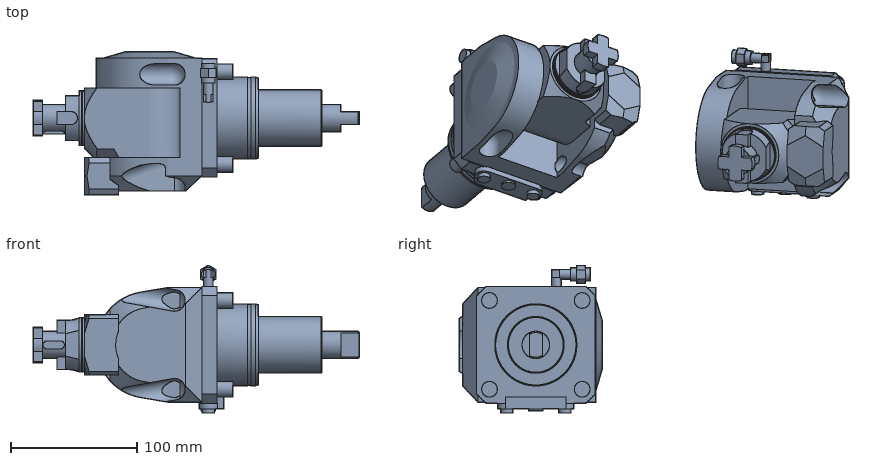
import cadquery as cq
import math


OVERALL_LENGTH = 258.0

PIVOT_X = -53.5
BODY_R = 42.3
BODY_HALF_Z = 45.5
BODY_BACK_Y = 47.5
BODY_FRONT_Y = -57.8
TAPER_START_X = -38.7
FRONT_BEVEL_Y = 12.0
FRONT_BEVEL_IN = 13.0
ARM_FLAT_X = -84.5
ARM_FLAT_Y = -49.8
CAP_TOP_Y = 52.6
CAP_R = 36.6
CAP_TOP_R = 19.0

FLANGE_T = 12.0
FLANGE_HALF_Z = 46.2
FLANGE_BACK_Y = 47.0
FLANGE_FRONT_Y = -46.7
FLANGE_CORNER = 7.2

HEAD_HALF_Z = 24.0
HEAD_BACK_Y = 24.0
HEAD_FRONT_Y = -31.0
HEAD_END_X = -105.0
SLOT_END_X = PIVOT_X + HEAD_HALF_Z
HEAD_CORNER_Y = 6.7
HEAD_CORNER_Z = 9.3
HEAD_CORNER_END_X = -78.0
HEAD_CORNER_RUNOUT = 3.9

HOUSING_FRONT_Y = -60.6
HOUSING_END_X = -78.0
HOUSING_EDGE_Y = 4.6
HOUSING_EDGE_Z = 3.0
HOUSING_FACET_SLOPE = 71
HOUSING_RELIEF_R = 26.8

BOLT_R = 6.2
BOLT_OUT = 12.5
BOLT_Y = 36.6
BOLT_Z = 35.0
POCKET_R = 8.5
POCKET_X = -33.8
POCKET_BACK_Y = 34.5
POCKET_FRONT_Y = -36.5
POCKET_L = 77.5
BACK_POCKET_LEAN = (0, 0, 0.6)
FRONT_POCKET_LEAN = (0, -0.37, 0.18)

PILOT_R = 32.5
PILOT_END_X = 32.5
PILOT_CHAMFER_X = 2.3
PILOT_CHAMFER_R = 0.8
GROOVE_X = 24.0
GROOVE_W = 2.8
GROOVE_DEPTH = 0.3
SHANK_R = 22.5
SHANK_END_X = 83.0
SHANK_CHAMFER = 0.8
TANG_R = 10.8
TANG_FLAT_X = 97.8
TANG_END_X = 112.5
TANG_HALF_T = 5.2
TANG_CHAMFER = 1.0

RING_R = 21.7
RING_GROOVE_R = 21.0
RING_GROOVE_W = 0.8
COLLAR_END_X = -109.1
COLLAR_X = -120.0
COLLAR_BASE_R = 21.2
COLLAR_TIP_R = 19.9
COLLAR_HALF_Y = 17.8
ARBOR_R = 10.8
CROSS_X = -138.0
TIP_X = TANG_END_X - OVERALL_LENGTH
CROSS_R = 14.2
KEY_HALF_W = 5.2
KEY_X = -126.7
KEY_END_X = -110.5
KEY_TOP_Z = 19.5
SIDE_KEY_X = -137.8
SIDE_KEY_END_X = -120.7
SIDE_KEY_W = 6.5
SIDE_KEY_Y = -12.6

ELBOW_X = -7.0
ELBOW_Y = 16.3
ELBOW_Z = 55.7
ELBOW_R = 3.9
ELBOW_PAD = 5.7
ELBOW_PAD_SHIFT = 0.5
TUBE_END_Y = 27.5
NUT_R = 5.5
NUT_END_Y = 43.0
HEX_Y = 32.2
HEX_END_Y = 39.2
HEX_R = 7.2

COVER_X = -7.0
COVER_R = 7.2
COVER_BOTTOM_Z = -50.5
SCREW_Y = 23.0
SCREW_R = 5.0
SCREW_BOTTOM_Z = -54.0
STUD_R = 5.7
STUD_BOTTOM_Z = -52.0
LIP_X = 5.5
LIP_TOP_Z = -41.0
LIP_HALF_Y = 24.0


def block(x0, x1, y0, y1, z0, z1):
    """Box between two opposite corners."""
    return cq.Workplane("XY").box(x1 - x0, y1 - y0, z1 - z0, centered=False).translate((x0, y0, z0))


def rod(radius, start, length, direction):
    """Round bar from start running a given length along direction."""
    return cq.Workplane(cq.Solid.makeCylinder(radius, length, cq.Vector(*start), cq.Vector(*direction)))


def rod_x(radius, x0, x1):
    """Round bar on the shank axis."""
    return rod(radius, (x0, 0, 0), x1 - x0, (1, 0, 0))


def fork_body():
    reach = TAPER_START_X - PIVOT_X
    distance = math.hypot(reach, BODY_HALF_Z)
    angle = math.atan2(BODY_HALF_Z, reach) + math.acos(BODY_R / distance)
    touch_x = PIVOT_X + BODY_R * math.cos(angle)
    touch_z = BODY_R * math.sin(angle)
    body = (
        cq.Workplane("XZ", origin=(0, BODY_BACK_Y, 0))
        .moveTo(-FLANGE_T, -BODY_HALF_Z)
        .lineTo(-FLANGE_T, BODY_HALF_Z)
        .lineTo(TAPER_START_X, BODY_HALF_Z)
        .lineTo(touch_x, touch_z)
        .threePointArc((PIVOT_X - BODY_R, 0), (touch_x, -touch_z))
        .lineTo(TAPER_START_X, -BODY_HALF_Z)
        .close()
        .extrude(BODY_BACK_Y - BODY_FRONT_Y)
        .faces("<Y").chamfer(FRONT_BEVEL_Y, FRONT_BEVEL_IN)
    )
    cap_h = CAP_TOP_Y - BODY_BACK_Y
    cap = cq.Solid.makeCone(
        CAP_R, CAP_TOP_R, cap_h, cq.Vector(PIVOT_X, BODY_BACK_Y, 0), cq.Vector(0, 1, 0)
    )
    slot = block(2 * HEAD_END_X, SLOT_END_X, HEAD_FRONT_Y, HEAD_BACK_Y, -FLANGE_HALF_Z, FLANGE_HALF_Z)
    arm_flat = block(2 * HEAD_END_X, ARM_FLAT_X, ARM_FLAT_Y, HEAD_FRONT_Y, -FLANGE_HALF_Z, FLANGE_HALF_Z)
    return body.union(cq.Workplane(cap)).cut(slot).cut(arm_flat)


def bolt_pocket(start, slope_out, open_dir):
    """Ball-ended groove leaving start towards -X, with its open side swept outwards."""
    tilt = cq.Vector(*slope_out)
    axis = cq.Vector(-1, 0, 0) + tilt
    across = cq.Vector(*open_dir)
    square_to_axis = across - axis * (across.dot(axis) / axis.dot(axis))
    groove_plane = cq.Workplane(cq.Plane(start, square_to_axis, axis))
    groove = groove_plane.circle(POCKET_R).extrude(POCKET_L)
    open_side = groove_plane.center(POCKET_L / 2, 0).rect(POCKET_L, 2 * POCKET_R).extrude(POCKET_L)
    far = 2 * POCKET_L
    beyond_start = block(POCKET_X - far, POCKET_X, -far, far, -far, far)
    open_side = open_side.intersect(beyond_start)
    ball = cq.Workplane("XY").sphere(POCKET_R).translate(start)
    end = rod(POCKET_R, start, POCKET_L, open_dir)
    return groove.union(open_side).union(ball).union(end)


def flange():
    plate = block(-FLANGE_T, 0, FLANGE_FRONT_Y, FLANGE_BACK_Y, -FLANGE_HALF_Z, FLANGE_HALF_Z)
    return plate.edges("|X").chamfer(FLANGE_CORNER)


def head():
    length = PIVOT_X - HEAD_END_X
    bar = block(HEAD_END_X, PIVOT_X, HEAD_FRONT_Y, HEAD_BACK_Y, -HEAD_HALF_Z, HEAD_HALF_Z)
    turned_end = cq.Solid.makeCone(
        HEAD_HALF_Z, HEAD_HALF_Z + length, length, cq.Vector(HEAD_END_X, 0, 0), cq.Vector(1, 0, 0)
    )
    bar = bar.intersect(cq.Workplane(turned_end))
    bevel_l = HEAD_CORNER_END_X - HEAD_END_X
    corner = (
        cq.Workplane("YZ", origin=(HEAD_END_X, 0, 0))
        .moveTo(HEAD_FRONT_Y, HEAD_HALF_Z)
        .lineTo(HEAD_FRONT_Y + HEAD_CORNER_Y, HEAD_HALF_Z)
        .lineTo(HEAD_FRONT_Y, HEAD_HALF_Z - HEAD_CORNER_Z)
        .close()
        .extrude(bevel_l)
    )
    bevel_end = (
        cq.Workplane("XY", origin=(0, 0, -HEAD_HALF_Z))
        .moveTo(HEAD_CORNER_END_X, HEAD_FRONT_Y)
        .lineTo(HEAD_CORNER_END_X - HEAD_CORNER_RUNOUT, HEAD_FRONT_Y + HEAD_CORNER_Y)
        .lineTo(HEAD_CORNER_END_X, HEAD_FRONT_Y + HEAD_CORNER_Y)
        .close()
        .extrude(2 * HEAD_HALF_Z)
    )
    corner = corner.cut(bevel_end)
    bar = bar.cut(corner).cut(corner.mirror("XY"))
    knuckle = rod(HEAD_HALF_Z, (PIVOT_X, HEAD_FRONT_Y, 0), HEAD_BACK_Y - HEAD_FRONT_Y, (0, 1, 0))
    return bar.union(knuckle)


def side_housing():
    mid_y = (HEAD_FRONT_Y + HOUSING_FRONT_Y) / 2
    outline = [
        (HEAD_FRONT_Y, HEAD_HALF_Z - HOUSING_EDGE_Z),
        (HEAD_FRONT_Y - HOUSING_EDGE_Y, HEAD_HALF_Z),
        (HOUSING_FRONT_Y + HOUSING_EDGE_Y, HEAD_HALF_Z),
        (HOUSING_FRONT_Y, HEAD_HALF_Z - HOUSING_EDGE_Z),
    ]
    outline += [(y, -z) for y, z in reversed(outline)]
    end = cq.Workplane("YZ", origin=(HEAD_END_X, 0, 0))
    housing = end.polyline(outline).close().extrude(HOUSING_END_X - HEAD_END_X)
    flats = HEAD_FRONT_Y - HOUSING_FRONT_Y
    length = HOUSING_END_X - HEAD_END_X
    wide_flats = flats + 2 * length * math.tan(math.radians(HOUSING_FACET_SLOPE))
    corners = 1 / math.cos(math.pi / 6)
    facets = (
        cq.Workplane("YZ", origin=(HEAD_END_X, mid_y, 0))
        .transformed(rotate=(0, 0, 90))
        .polygon(6, flats * corners)
        .workplane(offset=length)
        .polygon(6, wide_flats * corners)
        .loft(ruled=True)
    )
    relief_l = BODY_FRONT_Y - HOUSING_FRONT_Y
    relief = rod(HOUSING_RELIEF_R, (PIVOT_X, HOUSING_FRONT_Y, 0), relief_l, (0, 1, 0))
    return housing.intersect(facets).cut(relief)


def shank():
    profile = [
        (-FLANGE_T, 0),
        (-FLANGE_T, PILOT_R),
        (GROOVE_X, PILOT_R),
        (GROOVE_X, PILOT_R - GROOVE_DEPTH),
        (GROOVE_X + GROOVE_W, PILOT_R - GROOVE_DEPTH),
        (GROOVE_X + GROOVE_W, PILOT_R),
        (PILOT_END_X - PILOT_CHAMFER_X, PILOT_R),
        (PILOT_END_X, PILOT_R - PILOT_CHAMFER_R),
        (PILOT_END_X, SHANK_R),
        (SHANK_END_X - SHANK_CHAMFER, SHANK_R),
        (SHANK_END_X, SHANK_R - SHANK_CHAMFER),
        (SHANK_END_X, TANG_R),
        (TANG_END_X - TANG_CHAMFER, TANG_R),
        (TANG_END_X, TANG_R - TANG_CHAMFER),
        (TANG_END_X, 0),
    ]
    turned = cq.Workplane("XY").polyline(profile).close().revolve(360, (0, 0, 0), (1, 0, 0))
    for side in (1, -1):
        y0, y1 = sorted((side * TANG_HALF_T, side * PILOT_R))
        turned = turned.cut(block(TANG_FLAT_X, TANG_END_X, y0, y1, -PILOT_R, PILOT_R))
    return turned


def spindle():
    ring_mid = (HEAD_END_X + COLLAR_END_X) / 2
    ring = rod_x(RING_R, COLLAR_END_X, HEAD_END_X)
    groove = rod_x(RING_R, ring_mid, ring_mid + RING_GROOVE_W)
    ring = ring.cut(groove).union(rod_x(RING_GROOVE_R, COLLAR_END_X, HEAD_END_X))
    collar_l = COLLAR_END_X - COLLAR_X
    collar = cq.Workplane(cq.Solid.makeCone(
        COLLAR_TIP_R, COLLAR_BASE_R, collar_l, cq.Vector(COLLAR_X, 0, 0), cq.Vector(1, 0, 0)
    ))
    flats = block(COLLAR_X, COLLAR_END_X, -COLLAR_HALF_Y, COLLAR_HALF_Y, -RING_R, RING_R)
    collar = collar.intersect(flats)

    round_x = KEY_END_X - KEY_HALF_W
    key_plan = (
        cq.Workplane("XY", origin=(0, 0, -RING_R))
        .moveTo(KEY_X, -KEY_HALF_W)
        .lineTo(round_x, -KEY_HALF_W)
        .threePointArc((KEY_END_X, 0), (round_x, KEY_HALF_W))
        .lineTo(KEY_X, KEY_HALF_W)
        .close()
        .extrude(2 * RING_R)
    )
    keys = key_plan.intersect(block(KEY_X, KEY_END_X, -RING_R, RING_R, -KEY_TOP_Z, KEY_TOP_Z))
    arbor = rod_x(ARBOR_R, CROSS_X, HEAD_END_X)

    cross_disc = rod_x(CROSS_R, TIP_X, CROSS_X)
    cross = block(TIP_X, CROSS_X, -CROSS_R, CROSS_R, -KEY_HALF_W, KEY_HALF_W)
    cross = cross.union(block(TIP_X, CROSS_X, -KEY_HALF_W, KEY_HALF_W, -CROSS_R, CROSS_R))
    cross = cross.intersect(cross_disc)

    side_key = (
        cq.Workplane("XZ")
        .center((SIDE_KEY_X + SIDE_KEY_END_X) / 2, 0)
        .slot2D(SIDE_KEY_END_X - SIDE_KEY_X, SIDE_KEY_W)
        .extrude(-SIDE_KEY_Y)
    )
    collar = collar.cut(key_plan)
    return ring.union(collar).union(arbor).union(keys).union(cross).union(side_key)


def bolts():
    places = [(sy * BOLT_Y, sz * BOLT_Z) for sy in (1, -1) for sz in (1, -1)]
    return cq.Workplane("YZ").pushPoints(places).circle(BOLT_R).extrude(BOLT_OUT)


def coolant_elbow():
    centre = (ELBOW_X, ELBOW_Y, ELBOW_Z)
    riser = rod(ELBOW_R, (ELBOW_X, ELBOW_Y, 0), ELBOW_Z, (0, 0, 1))
    tube = rod(ELBOW_R, centre, TUBE_END_Y - ELBOW_Y, (0, 1, 0))
    upright = cq.Workplane("XY", origin=centre).circle(ELBOW_R).extrude(2 * ELBOW_R, both=True)
    level = cq.Workplane("XZ", origin=centre).circle(ELBOW_R).extrude(2 * ELBOW_R, both=True)
    mitre = upright.intersect(level)
    pads = cq.Workplane("XY").box(2 * ELBOW_R, ELBOW_PAD, ELBOW_PAD)
    pads = pads.translate((ELBOW_X, ELBOW_Y - ELBOW_PAD_SHIFT, ELBOW_Z + ELBOW_PAD_SHIFT))
    nut = rod(NUT_R, (ELBOW_X, TUBE_END_Y, ELBOW_Z), NUT_END_Y - TUBE_END_Y, (0, 1, 0))
    hexagon = (
        cq.Workplane("XZ", origin=(ELBOW_X, HEX_END_Y, ELBOW_Z))
        .transformed(rotate=(0, 0, 90))
        .polygon(6, 2 * HEX_R)
        .extrude(HEX_END_Y - HEX_Y)
    )
    return riser.union(tube).union(mitre).union(pads).union(nut).union(hexagon)


def bottom_cover():
    cover = (
        cq.Workplane("XY", origin=(COVER_X, 0, COVER_BOTTOM_Z))
        .slot2D(2 * (SCREW_Y + COVER_R), 2 * COVER_R, 90)
        .extrude(-FLANGE_HALF_Z - COVER_BOTTOM_Z)
    )
    for y in (SCREW_Y, -SCREW_Y):
        height = COVER_BOTTOM_Z - SCREW_BOTTOM_Z
        cover = cover.union(rod(SCREW_R, (COVER_X, y, SCREW_BOTTOM_Z), height, (0, 0, 1)))
    stud_h = COVER_BOTTOM_Z - STUD_BOTTOM_Z
    stud = rod(STUD_R, (COVER_X, 0, STUD_BOTTOM_Z), stud_h, (0, 0, 1))
    lip = block(0, LIP_X, -LIP_HALF_Y, LIP_HALF_Y, COVER_BOTTOM_Z, LIP_TOP_Z)
    return cover.union(stud).union(lip)


body = fork_body()
pockets = (
    bolt_pocket((POCKET_X, POCKET_BACK_Y, BOLT_Z), BACK_POCKET_LEAN, (0, 0, 1)),
    bolt_pocket((POCKET_X, POCKET_FRONT_Y, BOLT_Z), FRONT_POCKET_LEAN, (0, -1, 0)),
)
for pocket in pockets:
    body = body.cut(pocket).cut(pocket.mirror("XY"))

result = body
for piece in (
    flange(), head(), side_housing(), shank(), spindle(), bolts(), coolant_elbow(), bottom_cover()
):
    result = result.union(piece)